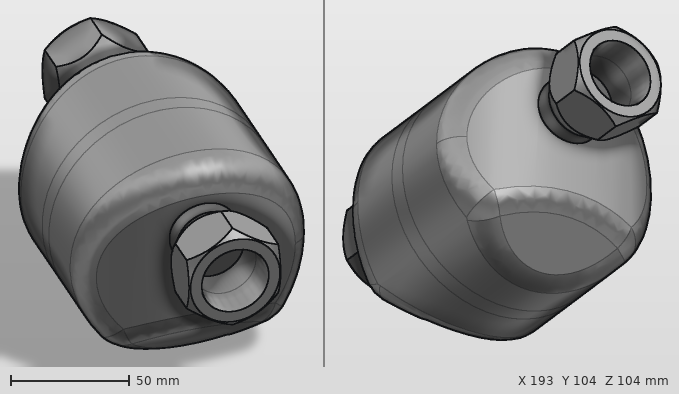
import cadquery as cq
import math

SHELL_DIAMETER = 104.0
SHELL_HALF_LENGTH = 55.5
END_BOW_RADIUS = 96.0
SLOPE_ANGLE = 45.0
FOOT_LENGTH = 57.0
EDGE_RADIUS = 14.0
BAND_WIDTH = 8.7

OVERALL_LENGTH = 193.0
PORT_Z = 19.0
NECK_DIAMETER = 30.0
NECK_END_X = 63.0
HEX_SIDES = 6
HEX_ACROSS_FLATS = 41.0
HEX_END_DIAMETER = 40.0
CONE_ANGLE = 30.0
BORE_DIAMETER = 28.57
BORE_DEPTH = 30.0
MOUTH_DIAMETER = 30.0
SOCKET_DEPTH = 15.0

SHELL_RADIUS = SHELL_DIAMETER / 2
PORT_END = OVERALL_LENGTH / 2
HEX_ACROSS_CORNERS = HEX_ACROSS_FLATS / math.cos(math.pi / HEX_SIDES)
SIDES = (-1, 1)


def drum(length):
    """Cylinder of the shell diameter along X, centred on the origin."""
    return cq.Workplane("YZ", origin=(-length / 2, 0, 0)).circle(SHELL_RADIUS).extrude(length)


def bowed_ends():
    """Tall prism whose two X faces are arcs bowed outward."""
    sag = END_BOW_RADIUS - math.sqrt(END_BOW_RADIUS**2 - SHELL_RADIUS**2)
    corner_x = SHELL_HALF_LENGTH - sag
    return (
        cq.Workplane("XY", origin=(0, 0, -SHELL_RADIUS))
        .moveTo(-corner_x, -SHELL_RADIUS)
        .lineTo(corner_x, -SHELL_RADIUS)
        .threePointArc((SHELL_HALF_LENGTH, 0), (corner_x, SHELL_RADIUS))
        .lineTo(-corner_x, SHELL_RADIUS)
        .threePointArc((-SHELL_HALF_LENGTH, 0), (-corner_x, -SHELL_RADIUS))
        .close()
        .extrude(SHELL_DIAMETER)
    )


def sloped_foot():
    """Wedge-bottomed prism that keeps the material above both sloped faces."""
    rise = math.tan(math.radians(SLOPE_ANGLE))
    bottom_x = FOOT_LENGTH / 2
    top_x = bottom_x + SHELL_DIAMETER / rise
    return (
        cq.Workplane("XZ")
        .polyline([
            (-bottom_x, -SHELL_RADIUS),
            (bottom_x, -SHELL_RADIUS),
            (top_x, SHELL_RADIUS),
            (-top_x, SHELL_RADIUS),
        ])
        .close()
        .extrude(SHELL_RADIUS, both=True)
    )


def shell():
    """Drum trimmed by the bowed ends and sloped faces, with every edge rounded."""
    blank = drum(2 * SHELL_HALF_LENGTH)
    trimmed = blank.intersect(bowed_ends()).intersect(sloped_foot())
    return trimmed.edges().fillet(EDGE_RADIUS)


def weld_band():
    """Middle slice of the shell, flush with it, whose rim is the band."""
    return drum(BAND_WIDTH)


def revolve_about_port(profile, side):
    """Turn (x, radius) points about the port axis; side -1 mirrors them to -X."""
    return (
        cq.Workplane("XZ", origin=(0, 0, PORT_Z))
        .polyline([(side * x, radius) for x, radius in profile])
        .close()
        .revolve(360, (0, 0), (1, 0))
    )


def turned_connection(side):
    """Solid of revolution giving the neck, the cone and the chamfered nut end."""
    corner_radius = HEX_ACROSS_CORNERS / 2
    end_radius = HEX_END_DIAMETER / 2
    neck_radius = NECK_DIAMETER / 2
    cone_length = (corner_radius - neck_radius) / math.tan(math.radians(CONE_ANGLE))
    chamfer = corner_radius - end_radius
    profile = [
        (0, 0),
        (0, neck_radius),
        (NECK_END_X, neck_radius),
        (NECK_END_X + cone_length, corner_radius),
        (PORT_END - chamfer, corner_radius),
        (PORT_END, end_radius),
        (PORT_END, 0),
    ]
    return revolve_about_port(profile, side)


def connection(side):
    """Neck, cone and nut, with two corners of the hexagon pointing up and down."""
    hexagon = (
        cq.Workplane("YZ", origin=(0, 0, PORT_Z))
        .transformed(rotate=(0, 0, 90))
        .polygon(HEX_SIDES, HEX_ACROSS_CORNERS)
        .extrude(side * PORT_END)
    )
    return turned_connection(side).intersect(hexagon)


def bore(side):
    """Tapered socket mouth followed by a straight bore."""
    mouth_radius = MOUTH_DIAMETER / 2
    bore_radius = BORE_DIAMETER / 2
    profile = [
        (PORT_END, 0),
        (PORT_END, mouth_radius),
        (PORT_END - SOCKET_DEPTH, bore_radius),
        (PORT_END - BORE_DEPTH, bore_radius),
        (PORT_END - BORE_DEPTH, 0),
    ]
    return revolve_about_port(profile, side)


result = shell().union(weld_band(), clean=False)
for side in SIDES:
    result = result.union(connection(side), clean=False)
    result = result.cut(bore(side), clean=False)